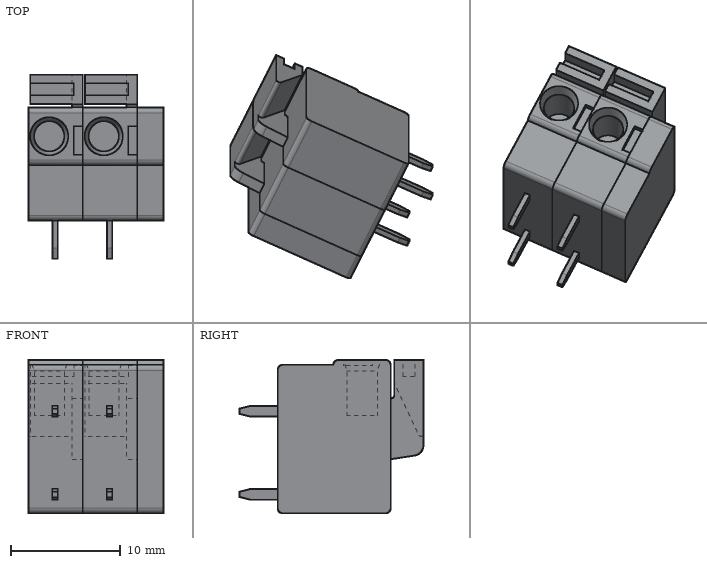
import cadquery as cq
import math


pole_count = 2
pole_pitch = 5.0
end_plate_width = 2.4
housing_depth = 10.4
housing_height = 14.1
edge_radius = 0.5
step_drop = 0.44
upper_deck_depth = 5.29

wire_hole_diameter = 2.77
wire_hole_mouth_diameter = 3.5
wire_hole_funnel_depth = 1.0
wire_hole_depth = 5.07
wire_hole_x = 1.91
wire_hole_y = 7.74

test_slot_width = 0.83
test_slot_length = 2.65
test_slot_depth = 0.5
test_slot_y = 7.35

pin_thickness = 0.5
pin_height = 1.0
pin_tip_height = 0.49
pin_length = 3.5
pin_taper_length = 1.0
pin_x = 2.45
pin_lower_z = 1.75
pin_row_spacing = 7.62

lever_side_gap = 0.17
lever_back_gap = 0.3
lever_depth = 2.7
lever_width = pole_pitch - lever_side_gap
lever_slant_top_z = 11.97
lever_slant_angle = 25.2
lever_tip_radius = 0.25
lever_slot_length = 4.0
lever_slot_width = 1.08
lever_slot_depth = 1.5

arm_width = 1.01
arm_top_z = 10.56
arm_foot_z = 4.97
arm_slope_angle = 8.7
arm_inner_radius = 0.29
arm_outer_radius = 1.0

lever_front_y = housing_depth + lever_back_gap
lever_back_y = lever_front_y + lever_depth


def extrude_along_x(profile_points, x_start, width):
    """Prism with a (Y, Z) outline, running from x_start towards +X."""
    return cq.Workplane("YZ", origin=(x_start, 0, 0)).polyline(profile_points).close().extrude(width)


def make_housing_block(x_start, width):
    """Housing slice with a stepped top and rounded long edges."""
    step_y = housing_depth - upper_deck_depth
    front_top_z = housing_height - step_drop
    round_run = math.sqrt(edge_radius**2 - (edge_radius - step_drop) ** 2)
    round_start_y = step_y + round_run
    diagonal = math.sqrt(0.5)
    round_middle = (
        round_start_y - edge_radius * diagonal,
        housing_height - edge_radius + edge_radius * diagonal,
    )
    return (
        cq.Workplane("YZ", origin=(x_start, 0, 0))
        .moveTo(0, 0)
        .lineTo(0, front_top_z)
        .lineTo(step_y, front_top_z)
        .threePointArc(round_middle, (round_start_y, housing_height))
        .lineTo(housing_depth, housing_height)
        .lineTo(housing_depth, 0)
        .close()
        .extrude(width)
        .edges("|X and (<Y or >Y)")
        .fillet(edge_radius)
    )


def make_wire_hole(x_start):
    """Cutter for the round wire entry with its funnel mouth."""
    bore_radius = wire_hole_diameter / 2
    mouth_radius = wire_hole_mouth_diameter / 2
    return (
        cq.Workplane("XZ")
        .moveTo(0, 0)
        .lineTo(mouth_radius, 0)
        .lineTo(bore_radius, -wire_hole_funnel_depth)
        .lineTo(bore_radius, -wire_hole_depth)
        .lineTo(0, -wire_hole_depth)
        .close()
        .revolve(360, (0, 0, 0), (0, 1, 0))
        .translate((x_start + wire_hole_x, wire_hole_y, housing_height))
    )


def make_test_slot(x_start):
    """Cutter for the shallow slot beside the wire entry."""
    return cq.Workplane("XY").box(
        test_slot_width, test_slot_length, test_slot_depth, centered=(False, True, False)
    ).translate(
        (x_start + pole_pitch - test_slot_width, test_slot_y, housing_height - test_slot_depth)
    )


def make_module(x_start):
    """Housing of one pole."""
    block = make_housing_block(x_start, pole_pitch)
    return block.cut(make_wire_hole(x_start)).cut(make_test_slot(x_start))


def make_pin(x_start, z_center):
    """Flat solder pin standing on the housing face, tapered at its tip."""
    taper_y = pin_taper_length - pin_length
    half_height = pin_height / 2
    half_tip = pin_tip_height / 2
    profile = [
        (0, z_center - half_height),
        (0, z_center + half_height),
        (taper_y, z_center + half_height),
        (-pin_length, z_center + half_tip),
        (-pin_length, z_center - half_tip),
        (taper_y, z_center - half_height),
    ]
    return extrude_along_x(profile, x_start + pin_x - pin_thickness / 2, pin_thickness)


def make_lever_head(x_start):
    """Wedge-shaped head with a screwdriver slot open towards -X."""
    head_x = x_start + lever_side_gap
    wedge_tip_z = lever_slant_top_z - lever_depth / math.tan(math.radians(lever_slant_angle))
    profile = [
        (lever_back_y, housing_height),
        (lever_front_y, housing_height),
        (lever_front_y, lever_slant_top_z),
        (lever_back_y, wedge_tip_z),
    ]
    head = extrude_along_x(profile, head_x, lever_width).edges("|X and <Z").fillet(lever_tip_radius)
    slot = cq.Workplane("XY").box(
        lever_slot_length, lever_slot_width, lever_slot_depth, centered=(False, True, False)
    ).translate((head_x, (lever_front_y + lever_back_y) / 2, housing_height - lever_slot_depth))
    return head.cut(slot)


def make_lever_arm(x_start):
    """Thin arm from the back of the head to the housing."""
    arm_x = x_start + pole_pitch - arm_width
    arm_reach = lever_back_y - housing_depth
    heel_z = arm_foot_z + arm_reach * math.tan(math.radians(arm_slope_angle))
    profile = [
        (housing_depth, arm_foot_z),
        (housing_depth, arm_top_z),
        (lever_front_y, arm_top_z),
        (lever_front_y, housing_height - lever_slot_depth),
        (lever_back_y, housing_height - lever_slot_depth),
        (lever_back_y, heel_z),
    ]
    inner_corner = cq.selectors.NearestToPointSelector((arm_x + arm_width / 2, lever_front_y, arm_top_z))
    heel_corner = cq.selectors.NearestToPointSelector((arm_x + arm_width / 2, lever_back_y, heel_z))
    return (
        extrude_along_x(profile, arm_x, arm_width)
        .edges(inner_corner)
        .fillet(arm_inner_radius)
        .edges(heel_corner)
        .fillet(arm_outer_radius)
    )


def make_lever(x_start):
    """Release lever: head and arm in one piece."""
    return make_lever_head(x_start).union(make_lever_arm(x_start))


pole_starts = [pole * pole_pitch for pole in range(pole_count)]
pin_heights = [pin_lower_z, pin_lower_z + pin_row_spacing]

modules = [make_module(x) for x in pole_starts]
end_plate = make_housing_block(pole_count * pole_pitch, end_plate_width)
levers = [make_lever(x) for x in pole_starts]
pins = [make_pin(x, z) for x in pole_starts for z in pin_heights]

bodies = [*modules, end_plate, *levers, *pins]
result = cq.Compound.makeCompound([body.solids().val() for body in bodies])